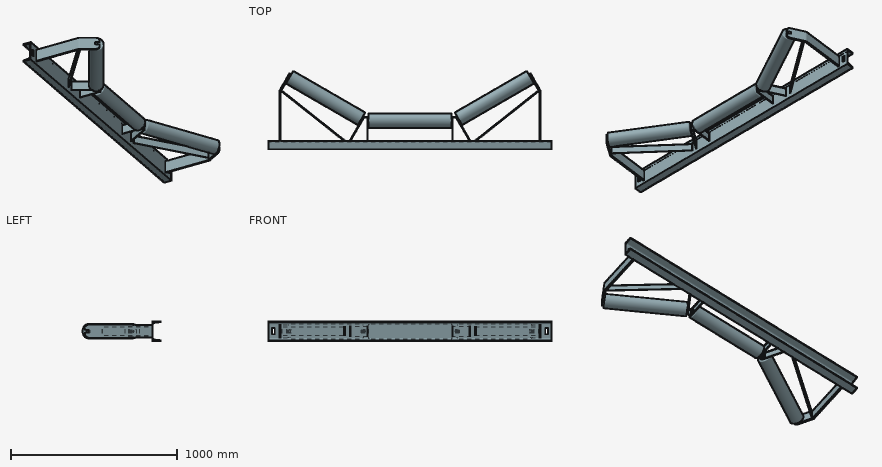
import cadquery as cq
import math

channel_length = 1700.0
channel_height = 120.0
channel_depth = 51.0
web_thickness = 5.0
flange_root_thickness = 12.0
flange_tip_thickness = 7.0
root_fillet = 8.0
slot_width = 15.0
slot_height = 35.0
slot_end_distance = 30.0

roller_diameter = 88.0
roller_length = 500.0
roller_edge_fillet = 5.0
shaft_diameter = 19.0
trough_angle = 30.0
centre_roller_y = 120.0
side_roller_x = 507.0
side_roller_y = 257.0

outer_bar_width = 76.0
inner_bar_width = 60.0
outer_bar_thickness = 10.0
inner_bar_thickness = 5.0
brace_thickness = 5.0
brace_width = 51.0
outer_bar_x = 780.0
outer_tip_radius = 22.0
outer_tip_rise = 20.0
outer_bend_radius = 10.0
inner_bar_x = 255.0
inner_bar_top_y = 143.0
outer_bar_gap = 2.0
inner_bar_gap = 3.0
brace_foot_x = 393.0
brace_top_rise = 8.0
foot_overrun = 8.0

cos_trough = math.cos(math.radians(trough_angle))
sin_trough = math.sin(math.radians(trough_angle))
outer_bar_offset = roller_length / 2 + outer_bar_gap + outer_bar_thickness / 2
inner_bar_offset = roller_length / 2 + inner_bar_gap + inner_bar_thickness / 2


def side_point(along, across):
    """Point at a distance along and across the axis of the right-hand roller, from its middle."""
    return (
        side_roller_x + along * cos_trough - across * sin_trough,
        side_roller_y + along * sin_trough + across * cos_trough,
    )


def across_at_x(along, x):
    """Distance across the roller axis at which the line at `along` reaches a given X."""
    return (side_roller_x + along * cos_trough - x) / sin_trough


def across_at_y(along, y):
    """Distance across the roller axis at which the line at `along` reaches a given Y."""
    return (y - side_roller_y - along * sin_trough) / cos_trough


def flat_bar(centre_line, thickness, width):
    """Flat bar of the given width along Z, bent along a centre line in the XY plane."""
    headings = [
        math.atan2(y1 - y0, x1 - x0)
        for (x0, y0), (x1, y1) in zip(centre_line, centre_line[1:])
    ]
    left_side = []
    right_side = []
    for i, (x, y) in enumerate(centre_line):
        before = headings[max(i - 1, 0)]
        after = headings[min(i, len(headings) - 1)]
        mitre = (before + after) / 2
        reach = thickness / 2 / math.cos((after - before) / 2)
        dx = -reach * math.sin(mitre)
        dy = reach * math.cos(mitre)
        left_side.append((x + dx, y + dy))
        right_side.append((x - dx, y - dy))
    outline = left_side + right_side[::-1]
    base = cq.Workplane("XY").workplane(offset=-width / 2)
    return base.polyline(outline).close().extrude(width)


def outer_leg_point(rise):
    """Point on the centre line of the outer bracket's sloping leg, at a distance above the bend."""
    bend_across = across_at_x(outer_bar_offset, outer_bar_x)
    return side_point(outer_bar_offset, bend_across + rise)


def cut_at_web(bar):
    """Cut the foot of a slanting bar flush with the channel web."""
    channel_space = cq.Workplane("XY").box(channel_length, channel_depth, channel_height)
    return bar.cut(channel_space.translate((0, -channel_depth / 2, 0)))


def place_at_side_roller(shape):
    """Move a shape from the origin, roller axis along X, to the right-hand roller."""
    turned = shape.rotate((0, 0, 0), (0, 0, 1), trough_angle)
    return turned.translate((side_roller_x, side_roller_y, 0))


def shaft_slot(along, depth):
    """Cutter for a round-bottomed slot, open toward +Y, that takes a shaft along X."""
    bottom = cq.Workplane("YZ").circle(shaft_diameter / 2).extrude(depth / 2, both=True)
    opening = cq.Workplane("XY").box(
        depth, roller_diameter, shaft_diameter, centered=(True, False, True)
    )
    return bottom.union(opening).translate((along, 0, 0))


def make_channel():
    half_height = channel_height / 2
    tip_z = half_height - flange_tip_thickness
    root_z = half_height - flange_root_thickness
    outline = [
        (0, -half_height),
        (-channel_depth, -half_height),
        (-channel_depth, -tip_z),
        (-web_thickness, -root_z),
        (-web_thickness, root_z),
        (-channel_depth, tip_z),
        (-channel_depth, half_height),
        (0, half_height),
    ]
    end_face = cq.Workplane("YZ").workplane(offset=-channel_length / 2)
    body = end_face.polyline(outline).close().extrude(channel_length)
    inner_corners = cq.selectors.BoxSelector(
        (-channel_length, -1.5 * web_thickness, -half_height + flange_tip_thickness),
        (channel_length, -0.5 * web_thickness, half_height - flange_tip_thickness),
    )
    body = body.edges("|X").edges(inner_corners).fillet(root_fillet)
    slot_x = channel_length / 2 - slot_end_distance
    slots = (
        cq.Workplane("XZ")
        .pushPoints([(-slot_x, 0), (slot_x, 0)])
        .rect(slot_width, slot_height)
        .extrude(channel_depth, both=True)
    )
    return body.cut(slots)


def make_roller(start_reach, end_reach):
    """Roller along X, its shaft reaching the given distances from the middle."""
    shell = (
        cq.Workplane("YZ")
        .workplane(offset=-roller_length / 2)
        .circle(roller_diameter / 2)
        .extrude(roller_length)
        .faces("|X")
        .edges()
        .fillet(roller_edge_fillet)
    )
    shaft = (
        cq.Workplane("YZ")
        .workplane(offset=-start_reach)
        .circle(shaft_diameter / 2)
        .extrude(start_reach + end_reach)
    )
    return shell.union(shaft)


def make_outer_bracket():
    """Upright bar, bent inward at its top to hold the outer end of a side roller."""
    centre_line = [
        (outer_bar_x, 0),
        outer_leg_point(0),
        side_point(outer_bar_offset, outer_tip_rise),
    ]
    bar = flat_bar(centre_line, outer_bar_thickness, outer_bar_width)
    bend_x, bend_y = centre_line[1]
    inner_bend = cq.selectors.NearestToPointSelector((bend_x - outer_bar_thickness / 2, bend_y, 0))
    outer_bend = cq.selectors.NearestToPointSelector((bend_x + outer_bar_thickness / 2, bend_y, 0))
    bar = bar.edges("|Z").edges(inner_bend).fillet(outer_bend_radius)
    bar = bar.edges("|Z").edges(outer_bend).fillet(outer_bend_radius + outer_bar_thickness)
    tip_direction = cq.Vector(-sin_trough, cos_trough, 0)
    tip_face = bar.faces(cq.selectors.DirectionMinMaxSelector(tip_direction))
    bar = tip_face.edges("not |Z").fillet(outer_tip_radius)
    return bar.cut(place_at_side_roller(shaft_slot(outer_bar_offset, 2 * outer_bar_thickness)))


def make_inner_bracket():
    """Bent bar with an upright leg at the centre roller and a sloping leg at a side roller."""
    along = -inner_bar_offset
    top_y = inner_bar_top_y - inner_bar_thickness / 2
    centre_line = [
        (inner_bar_x, 0),
        (inner_bar_x, top_y),
        side_point(along, across_at_y(along, top_y)),
        side_point(along, across_at_y(along, -foot_overrun)),
    ]
    bar = flat_bar(centre_line, inner_bar_thickness, inner_bar_width)
    return cut_at_web(bar)


def make_brace():
    """Diagonal bar from the channel web up to the outer bracket, just above its bend."""
    top_x, top_y = outer_leg_point(brace_top_rise)
    slope = top_y / (top_x - brace_foot_x)
    foot = (brace_foot_x - foot_overrun / slope, -foot_overrun)
    return cut_at_web(flat_bar([foot, (top_x, top_y)], brace_thickness, brace_width))


def mirrored_pair(shape):
    """A right-hand body and its mirror image on the left."""
    return [shape.val(), shape.mirror("YZ").val()]


channel = make_channel()
centre_reach = inner_bar_x + inner_bar_thickness / 2
centre_roller = make_roller(centre_reach, centre_reach).translate((0, centre_roller_y, 0))
side_roller = place_at_side_roller(
    make_roller(
        inner_bar_offset + inner_bar_thickness / 2,
        outer_bar_offset + outer_bar_thickness / 2,
    )
)
outer_bracket = make_outer_bracket()
inner_bracket = make_inner_bracket().cut(centre_roller).cut(side_roller)
brace = make_brace().cut(outer_bracket)

result = cq.Compound.makeCompound(
    [
        channel.val(),
        centre_roller.val(),
        *mirrored_pair(side_roller),
        *mirrored_pair(outer_bracket),
        *mirrored_pair(inner_bracket),
        *mirrored_pair(brace),
    ]
)